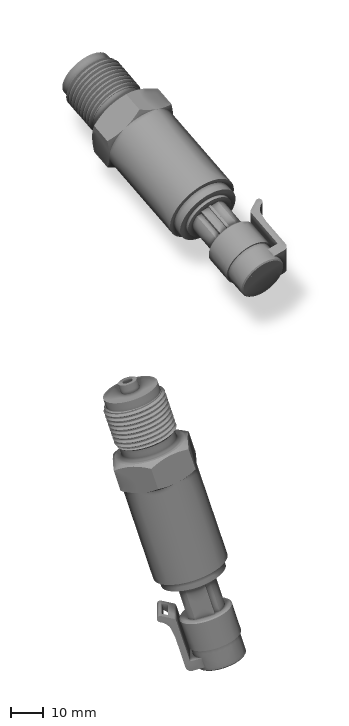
import cadquery as cq
import math


NOSE_END = 3.0
THREAD_START = 5.9
THREAD_END = 19.5
NECK_END = 22.1
HEX_START = 23.0
HEX_END = 32.6
HOUSING_END = 64.6
CAP_END = 67.7
PLUG_DISC_END = 68.7
LOCK_RING_START = 79.8
LOCK_RING_END = 87.5
SHELL_RIM_END = 89.6
SHELL_END = 97.0
PIP_END = 97.3

NOSE_DIAMETER = 6.0
PORT_DIAMETER = 3.3
LEAD_DIAMETER = 17.5
THREAD_ROOT_DIAMETER = 18.1
THREAD_CREST_DIAMETER = 19.8
THREAD_TURNS = 9
THREAD_PITCH = (THREAD_END - THREAD_START) / THREAD_TURNS
THREAD_ROOT_WIDTH = 1.2
THREAD_CREST_WIDTH = 0.2
THREAD_EMBED = 0.1
NECK_DIAMETER = 17.8
HEX_ACROSS_CORNERS = 27.7
HEX_ACROSS_FLATS = HEX_ACROSS_CORNERS * math.cos(math.radians(30))
HEX_FACE_DIAMETER = 22.6
HEX_CHAMFER_ANGLE = 30

HOUSING_DIAMETER = 23.9
CAP_DIAMETER = 20.8
PLUG_DISC_DIAMETER = 16.2
CORE_DIAMETER = 12.6
CORE_FLAT = 5.4
CORE_NOTCH_WALL = 3.1
CORE_NOTCH_FLOOR = 4.2
KEY_TOP = 6.0
KEY_WIDTH = 0.9

LOCK_RING_DIAMETER = 16.9
LOCK_RING_CHAMFER = 0.4
SHELL_DIAMETER = 15.9
SHELL_CROWN = 0.1
SHELL_CHAMFER = 0.4
PIP_DIAMETER = 0.2
PIP_Y = -4.6
PIP_Z = 5.2

LATCH_WIDTH = 12.1
LATCH_UNDERSIDE = 8.8
LATCH_TOP = 10.7
LATCH_TOP_AT_BEND = 11.2
LATCH_SLOPE_END = 83.3
LATCH_BEND_BOTTOM = 77.6
LATCH_BEND_RADIUS = 1.0
LATCH_BEND_TOP = 79.9
LATCH_HOLLOW = (78.2, 12.2)
LATCH_ROOT_START = 92.3
LATCH_ROOT_END = 95.5
LATCH_CORNER_RADIUS = 1.75
LATCH_ROOT_FILLET = 0.3
LATCH_TIP_X = 76.2
LATCH_TIP_RADIUS = 1.1
OVERALL_DEPTH = 26.3
LATCH_REACH = OVERALL_DEPTH - HEX_ACROSS_FLATS / 2
LATCH_WINDOW_BOTTOM = 10.8
LATCH_WINDOW_TOP = 12.6
LATCH_WINDOW_WIDTH = 8.2


def disc(diameter, start, end):
    """Solid cylinder on the X axis between two stations."""
    return cq.Workplane("YZ", origin=(start, 0, 0)).circle(diameter / 2).extrude(end - start)


def make_thread_ridge():
    """Right-handed helical ridge on the thread root, tapering out at both ends."""
    root = THREAD_ROOT_DIAMETER / 2
    embedded_root = root - THREAD_EMBED
    crest = THREAD_CREST_DIAMETER / 2
    rise = crest - root
    winding_length = THREAD_END - THREAD_START + THREAD_PITCH
    helix = cq.Wire.makeHelix(THREAD_PITCH, winding_length, embedded_root)
    ridge = (
        cq.Workplane("XZ")
        .moveTo(embedded_root, -THREAD_ROOT_WIDTH / 2)
        .lineTo(crest, -THREAD_CREST_WIDTH / 2)
        .lineTo(crest, THREAD_CREST_WIDTH / 2)
        .lineTo(embedded_root, THREAD_ROOT_WIDTH / 2)
        .close()
        .sweep(cq.Workplane(obj=helix), isFrenet=True)
    )
    ridge = ridge.rotate((0, 0, 0), (0, 1, 0), 90).rotate((0, 0, 0), (1, 0, 0), -90)
    ridge = ridge.translate((THREAD_START - THREAD_PITCH / 2, 0, 0))
    envelope = (
        cq.Workplane("XY")
        .moveTo(THREAD_START, 0)
        .lineTo(THREAD_START, root)
        .lineTo(THREAD_START + rise, crest + THREAD_EMBED)
        .lineTo(THREAD_END - rise, crest + THREAD_EMBED)
        .lineTo(THREAD_END, root)
        .lineTo(THREAD_END, 0)
        .close()
        .revolve(360, (0, 0, 0), (1, 0, 0))
    )
    return ridge.intersect(envelope)


def make_hex():
    """Hexagon with a corner up and both ends chamfered to a cone."""
    corner = HEX_ACROSS_CORNERS / 2
    slope = math.tan(math.radians(HEX_CHAMFER_ANGLE))
    face_radius = HEX_FACE_DIAMETER / 2
    back_radius = HOUSING_DIAMETER / 2
    prism = (
        cq.Workplane("YZ", origin=(HEX_START, 0, 0))
        .polygon(6, HEX_ACROSS_CORNERS)
        .extrude(HEX_END - HEX_START)
        .rotate((0, 0, 0), (1, 0, 0), 90)
    )
    envelope = (
        cq.Workplane("XY")
        .moveTo(HEX_START, 0)
        .lineTo(HEX_START, face_radius)
        .lineTo(HEX_START + (corner - face_radius) * slope, corner)
        .lineTo(HEX_END - (corner - back_radius) * slope, corner)
        .lineTo(HEX_END, back_radius)
        .lineTo(HEX_END, 0)
        .close()
        .revolve(360, (0, 0, 0), (1, 0, 0))
    )
    return prism.intersect(envelope)


def make_neck():
    """Undercut behind the thread, flared by a quarter-round into the hexagon."""
    radius = NECK_DIAMETER / 2
    flare = HEX_START - NECK_END
    reach = flare * math.sqrt(0.5)
    return (
        cq.Workplane("XY")
        .moveTo(THREAD_END, 0)
        .lineTo(THREAD_END, radius)
        .lineTo(NECK_END, radius)
        .threePointArc((NECK_END + reach, radius + flare - reach), (HEX_START, radius + flare))
        .lineTo(HEX_START, 0)
        .close()
        .revolve(360, (0, 0, 0), (1, 0, 0))
    )


def make_fitting():
    """Nose, threaded stem and hexagon in one piece, bored through for the port."""
    body = disc(NOSE_DIAMETER, 0, NOSE_END)
    body = body.union(disc(LEAD_DIAMETER, NOSE_END, THREAD_START))
    body = body.union(disc(THREAD_ROOT_DIAMETER, THREAD_START, THREAD_END))
    body = body.union(make_neck())
    body = body.union(make_hex())
    body = body.cut(disc(PORT_DIAMETER, 0, HEX_END))
    return body.union(make_thread_ridge())


def make_core():
    """Round core with three flats, two notched corners and a narrow key on top."""
    length = LOCK_RING_START - PLUG_DISC_END
    radius = CORE_DIAMETER / 2
    section = cq.Workplane("YZ", origin=(PLUG_DISC_END, 0, 0))
    core = disc(CORE_DIAMETER, PLUG_DISC_END, LOCK_RING_START)

    trim_width = radius + CORE_FLAT
    trim = section.center(CORE_FLAT - trim_width / 2, 0).rect(trim_width, 2 * CORE_FLAT)
    core = core.intersect(trim.extrude(length))

    notch_width = radius - CORE_NOTCH_WALL
    notch_height = radius - CORE_NOTCH_FLOOR
    notch_y = -CORE_NOTCH_WALL - notch_width / 2
    notch_z = CORE_NOTCH_FLOOR + notch_height / 2
    for side in (-1, 1):
        notch = section.center(notch_y, side * notch_z).rect(notch_width, notch_height)
        core = core.cut(notch.extrude(length))

    key = section.center(0, KEY_TOP / 2).rect(KEY_WIDTH, KEY_TOP).extrude(length)
    return core.union(key)


def make_plug():
    """Disc with a keyed core that reaches the locking ring."""
    return disc(PLUG_DISC_DIAMETER, CAP_END, PLUG_DISC_END).union(make_core())


def make_lock_ring():
    """Plain ring body, chamfered on its outer edge toward the plug."""
    ring = disc(LOCK_RING_DIAMETER, LOCK_RING_START, LOCK_RING_END)
    return ring.faces("<X").edges().chamfer(LOCK_RING_CHAMFER)


def make_latch():
    """Spring arm rooted on the +Y side of the shell, its bent tip toward the housing."""
    tip_y = LATCH_REACH - LATCH_TIP_RADIUS
    bend_angle = math.atan2(tip_y - LATCH_UNDERSIDE, LATCH_TIP_X - LATCH_BEND_BOTTOM)
    offset_x = LATCH_TIP_RADIUS * math.sin(bend_angle)
    offset_y = -LATCH_TIP_RADIUS * math.cos(bend_angle)
    tip_top = (
        LATCH_TIP_X + LATCH_TIP_RADIUS * math.cos(bend_angle),
        tip_y + LATCH_TIP_RADIUS * math.sin(bend_angle),
    )
    profile = (
        cq.Workplane("XY")
        .moveTo(LATCH_ROOT_START, 0)
        .lineTo(LATCH_ROOT_START, LATCH_UNDERSIDE)
        .lineTo(LATCH_BEND_BOTTOM, LATCH_UNDERSIDE)
        .lineTo(LATCH_TIP_X - offset_x, tip_y - offset_y)
        .threePointArc(tip_top, (LATCH_TIP_X + offset_x, tip_y + offset_y))
        .threePointArc(LATCH_HOLLOW, (LATCH_BEND_TOP, LATCH_TOP_AT_BEND))
        .lineTo(LATCH_SLOPE_END, LATCH_TOP)
        .lineTo(LATCH_ROOT_END - LATCH_CORNER_RADIUS, LATCH_TOP)
        .radiusArc((LATCH_ROOT_END, LATCH_TOP - LATCH_CORNER_RADIUS), LATCH_CORNER_RADIUS)
        .lineTo(LATCH_ROOT_END, 0)
        .close()
    )
    arm = profile.extrude(LATCH_WIDTH / 2, both=True)
    bend = cq.selectors.NearestToPointSelector((LATCH_BEND_BOTTOM, LATCH_UNDERSIDE, 0))
    arm = arm.edges(bend).fillet(LATCH_BEND_RADIUS)
    root = cq.selectors.NearestToPointSelector((LATCH_ROOT_START, LATCH_UNDERSIDE, 0))
    arm = arm.edges(root).fillet(LATCH_ROOT_FILLET)

    window_height = LATCH_WINDOW_TOP - LATCH_WINDOW_BOTTOM
    window = (
        cq.Workplane("YZ", origin=(LATCH_TIP_X - 2 * LATCH_TIP_RADIUS, 0, 0))
        .center(LATCH_WINDOW_BOTTOM + window_height / 2, 0)
        .rect(window_height, LATCH_WINDOW_WIDTH)
        .extrude(LATCH_BEND_TOP - LATCH_TIP_X + 2 * LATCH_TIP_RADIUS)
    )
    return arm.cut(window)


def make_shell():
    """Slightly crowned barrel with a rim at the locking ring, the latch and an end pip."""
    rim_radius = LOCK_RING_DIAMETER / 2
    crown_radius = SHELL_DIAMETER / 2
    end_radius = crown_radius - SHELL_CROWN
    crown_end = SHELL_END - SHELL_CHAMFER
    barrel = (
        cq.Workplane("XY")
        .moveTo(LOCK_RING_END, 0)
        .lineTo(LOCK_RING_END, rim_radius)
        .lineTo(SHELL_RIM_END, rim_radius)
        .lineTo(SHELL_RIM_END, end_radius)
        .threePointArc(((SHELL_RIM_END + crown_end) / 2, crown_radius), (crown_end, end_radius))
        .lineTo(SHELL_END, end_radius - SHELL_CHAMFER)
        .lineTo(SHELL_END, 0)
        .close()
        .revolve(360, (0, 0, 0), (1, 0, 0))
    )
    pip = disc(PIP_DIAMETER, SHELL_RIM_END, PIP_END).translate((0, PIP_Y, PIP_Z))
    return barrel.union(make_latch()).union(pip)


fitting = make_fitting()
housing = disc(HOUSING_DIAMETER, HEX_END, HOUSING_END)
end_cap = disc(CAP_DIAMETER, HOUSING_END, CAP_END)
plug = make_plug()
lock_ring = make_lock_ring()
shell = make_shell()

result = cq.Compound.makeCompound(
    [
        fitting.val(),
        housing.val(),
        end_cap.val(),
        plug.val(),
        lock_ring.val(),
        shell.val(),
    ]
)